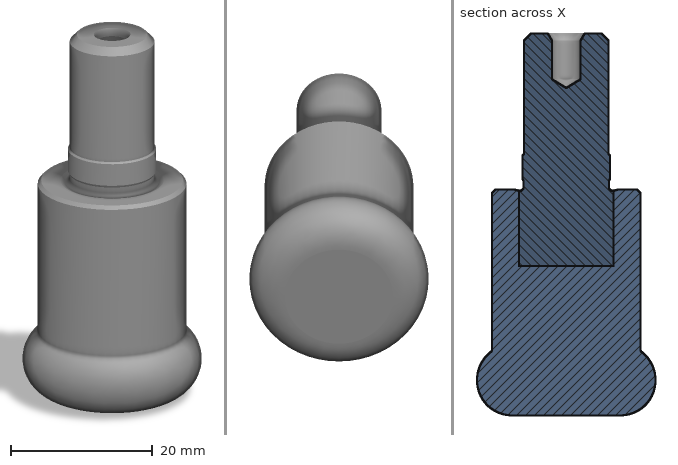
import cadquery as cq
import math

total_height = 54.0

handle_radius = 21.0 / 2
handle_top = 31.95
handle_chamfer = 0.5
knob_radius = 25.3 / 2
knob_round = 5.0
knob_blend = 0.55
dish_radius = 14.6 / 2
dish_depth = 0.2

socket_radius = 13.25 / 2
socket_depth = 10.8
shaft_radius = 12.0 / 2
shaft_chamfer = 1.0
collar_radius = 12.5 / 2
collar_bottom = 33.15
collar_top = 37.0
collar_lower_bevel = 0.3
neck_radius = 12.1 / 2

hole_radius = 4.0 / 2
hole_depth = 6.5
hole_mouth_radius = 5.2 / 2
hole_mouth_depth = 1.0
drill_tip_angle = 118.0

dish_floor = handle_top - dish_depth
socket_floor = handle_top - socket_depth
neck_fillet = socket_radius - neck_radius


def revolve(profile):
    """Close a radius-height profile and turn it around the Z axis."""
    return profile.close().revolve(360, (0, 0, 0), (0, 1, 0))


def make_handle():
    round_center_r = knob_radius - knob_round
    blend_center_r = handle_radius + knob_blend
    center_distance = knob_round + knob_blend
    blend_angle = math.acos((blend_center_r - round_center_r) / center_distance)
    blend_center_z = knob_round + center_distance * math.sin(blend_angle)
    join_r = round_center_r + knob_round * math.cos(blend_angle)
    join_z = knob_round + knob_round * math.sin(blend_angle)
    middle_angle = math.pi + blend_angle / 2
    blend_middle = (
        blend_center_r + knob_blend * math.cos(middle_angle),
        blend_center_z + knob_blend * math.sin(middle_angle),
    )
    profile = (
        cq.Workplane("XZ")
        .moveTo(0, 0)
        .lineTo(round_center_r, 0)
        .threePointArc((knob_radius, knob_round), (join_r, join_z))
        .threePointArc(blend_middle, (handle_radius, blend_center_z))
        .lineTo(handle_radius, handle_top - handle_chamfer)
        .lineTo(handle_radius - handle_chamfer, handle_top)
        .lineTo(dish_radius, handle_top)
        .lineTo(socket_radius, dish_floor)
        .lineTo(socket_radius, socket_floor)
        .lineTo(0, socket_floor)
    )
    return revolve(profile)


def make_center_hole():
    tip_length = hole_radius / math.tan(math.radians(drill_tip_angle / 2))
    hole_floor = total_height - hole_depth
    profile = (
        cq.Workplane("XZ")
        .moveTo(0, total_height)
        .lineTo(hole_mouth_radius, total_height)
        .lineTo(hole_radius, total_height - hole_mouth_depth)
        .lineTo(hole_radius, hole_floor)
        .lineTo(0, hole_floor - tip_length)
    )
    return revolve(profile)


def make_pin():
    fillet_top = dish_floor + neck_fillet
    fillet_reach = neck_fillet * (1 - math.sqrt(0.5))
    fillet_middle = (neck_radius + fillet_reach, dish_floor + fillet_reach)
    profile = (
        cq.Workplane("XZ")
        .moveTo(0, socket_floor)
        .lineTo(socket_radius, socket_floor)
        .lineTo(socket_radius, dish_floor)
        .threePointArc(fillet_middle, (neck_radius, fillet_top))
        .lineTo(neck_radius, collar_bottom)
        .lineTo(collar_radius, collar_bottom + collar_lower_bevel)
        .lineTo(collar_radius, collar_top - (collar_radius - shaft_radius))
        .lineTo(shaft_radius, collar_top)
        .lineTo(shaft_radius, total_height - shaft_chamfer)
        .lineTo(shaft_radius - shaft_chamfer, total_height)
        .lineTo(0, total_height)
    )
    return revolve(profile).cut(make_center_hole())


handle = make_handle()
pin = make_pin()

result = cq.Compound.makeCompound([handle.val(), pin.val()])